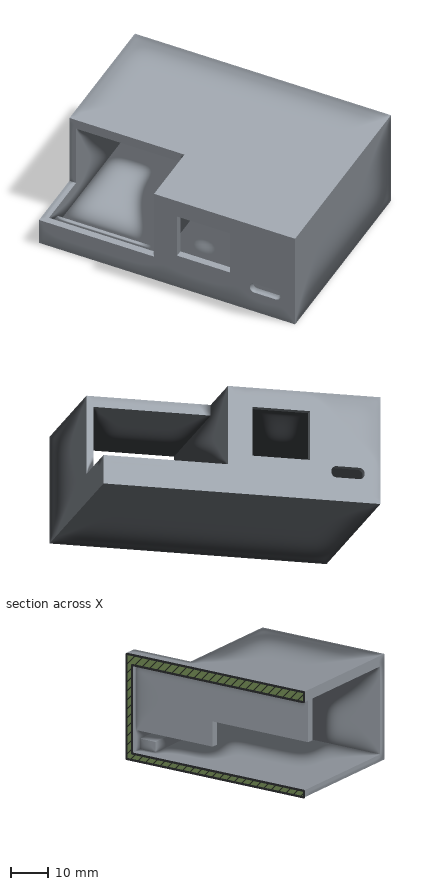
import cadquery as cq

LENGTH = 77.0
DEPTH = 58.0
HEIGHT = 30.0

WALL = 2.0
ROOF = 3.0

NOTCH_LENGTH = 34.6
NOTCH_DEPTH = 18.4
NOTCH_FLOOR = 8.0

PARTITION_LOW_DEPTH = 26.95
PARTITION_REAR_BOTTOM = 15.2

WINDOW_LEFT = 41.5
WINDOW_BOTTOM = 10.9
WINDOW_LENGTH = 15.95
WINDOW_HEIGHT = 13.7

SLOT_CENTER_X = 68.0
SLOT_CENTER_Z = 8.2
SLOT_LENGTH = 9.25
SLOT_HEIGHT = 3.15
SLOT_RADIUS = 1.5

RAIL_DEPTH = 5.0
RAIL_HEIGHT = 3.0


def block(x, y, z, length, depth, height):
    """Box with its lowest corner at (x, y, z)."""
    return cq.Workplane("XY").box(length, depth, height, centered=False).translate((x, y, z))


def make_shell():
    """Hollow box that is open at the rear."""
    outer = block(0, 0, 0, LENGTH, DEPTH, HEIGHT)
    cavity = block(WALL, WALL, WALL, LENGTH - 2 * WALL, DEPTH - WALL, HEIGHT - WALL - ROOF)
    return outer.cut(cavity)


def make_partition():
    """Stepped plate along Y: low beside the notch, higher behind it."""
    roof_underside = HEIGHT - ROOF
    return (
        cq.Workplane("YZ", origin=(NOTCH_LENGTH, 0, 0))
        .moveTo(WALL, NOTCH_FLOOR)
        .lineTo(PARTITION_LOW_DEPTH, NOTCH_FLOOR)
        .lineTo(PARTITION_LOW_DEPTH, PARTITION_REAR_BOTTOM)
        .lineTo(DEPTH, PARTITION_REAR_BOTTOM)
        .lineTo(DEPTH, roof_underside)
        .lineTo(WALL, roof_underside)
        .close()
        .extrude(WALL)
    )


def make_slot():
    """Rounded cutter that passes through the front wall."""
    return (
        block(
            SLOT_CENTER_X - SLOT_LENGTH / 2, 0, SLOT_CENTER_Z - SLOT_HEIGHT / 2,
            SLOT_LENGTH, WALL, SLOT_HEIGHT,
        )
        .edges("|Y")
        .fillet(SLOT_RADIUS)
    )


def make_housing():
    notch = block(0, 0, NOTCH_FLOOR, NOTCH_LENGTH, NOTCH_DEPTH, HEIGHT - NOTCH_FLOOR)
    window = block(WINDOW_LEFT, 0, WINDOW_BOTTOM, WINDOW_LENGTH, WALL, WINDOW_HEIGHT)
    return make_shell().cut(notch).union(make_partition()).cut(window).cut(make_slot())


def make_rail():
    """Rail that ends below the notch side of the partition."""
    return block(WALL, WALL, WALL, NOTCH_LENGTH - WALL, RAIL_DEPTH, RAIL_HEIGHT)


housing = make_housing()
rail = make_rail()
result = cq.Compound.makeCompound([housing.val(), rail.val()])